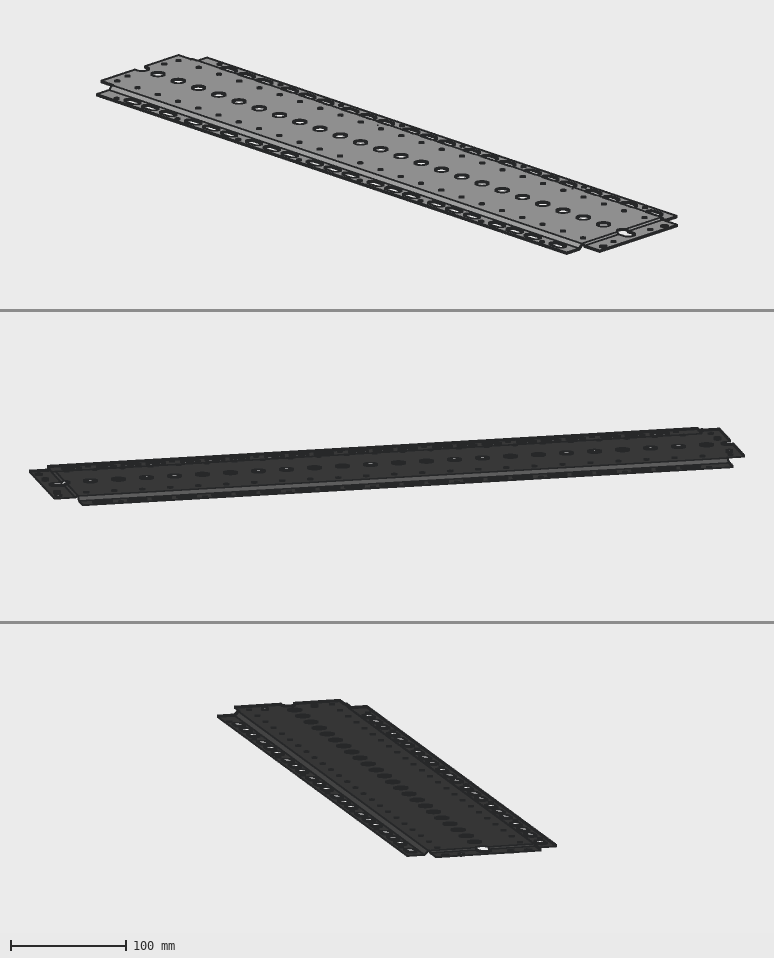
import math

import cadquery as cq

sheet = 1.5
total_height = 5.0
module_length = 600.0
plate_half_width = 47.5
overall_half_width = 67.5
end_margin = 15.5
total_length = module_length + end_margin

flange_start = 15.0
flange_end = 595.0
wall_top_y = 49.0
wall_drop = total_height - sheet
wall_slope_degrees = 45.0
wall_foot_y = wall_top_y + wall_drop / math.tan(math.radians(wall_slope_degrees))
bend_shift = sheet * math.tan(math.radians(wall_slope_degrees / 2))

tongue_drop = sheet
step_start = flange_end
step_length = 2.5
step_end = step_start + step_length
step_shift = sheet * math.tan(math.atan2(tongue_drop, step_length) / 2)

hole_pitch = 25.0
large_hole_diameter = 12.0
first_large_hole_x = 22.5
large_hole_count = 23
end_slot_length = 18.0

small_hole_diameter = 4.0
small_hole_y = 37.5
small_hole_start_x = 10.0
small_hole_count = 24
tongue_hole_diameter = 6.2

collar_outer_diameter = 5.4
collar_bore_diameter = 4.0
collar_drop = 1.5
collar_x = 7.5
collar_y = 22.5

flange_pitch = 75.0
flange_hole_start_x = 35.0
flange_hole_count = 8
flange_hole_diameter = 4.0
flange_hole_y = 63.0
slot_length = 17.0
slot_width = 9.0
slot_y = 59.0
slot_pitch = 22.0
first_slot_offset = flange_pitch / 2 - slot_pitch
slots_per_group = 3

plate_bottom = total_height - sheet
tongue_top = total_height - tongue_drop
tongue_bottom = tongue_top - sheet


def plate_and_tongue():
    """Flat plate with the stepped tongue, as one side profile swept across the width."""
    profile = [
        (0, total_height),
        (step_start, total_height),
        (step_end, tongue_top),
        (total_length, tongue_top),
        (total_length, tongue_bottom),
        (step_end - step_shift, tongue_bottom),
        (step_start - step_shift, plate_bottom),
        (0, plate_bottom),
    ]
    return (
        cq.Workplane("XZ")
        .polyline(profile)
        .close()
        .extrude(plate_half_width, both=True)
    )


def side_flange():
    """Lowered flange on the +Y side with the sloped wall that joins it to the plate."""
    profile = [
        (plate_half_width - sheet, total_height),
        (wall_top_y, total_height),
        (wall_foot_y, sheet),
        (overall_half_width, sheet),
        (overall_half_width, 0),
        (wall_foot_y - bend_shift, 0),
        (wall_top_y - bend_shift, plate_bottom),
        (plate_half_width - sheet, plate_bottom),
    ]
    return (
        cq.Workplane("YZ", origin=(flange_start, 0, 0))
        .polyline(profile)
        .close()
        .extrude(flange_end - flange_start)
    )


def through_holes(points, diameter):
    return cq.Workplane("XY").pushPoints(points).circle(diameter / 2).extrude(total_height)


def through_slots(points, length, width):
    return cq.Workplane("XY").pushPoints(points).slot2D(length, width).extrude(total_height)


def mirrored_pairs(x_positions, y):
    return [(x, side * y) for x in x_positions for side in (-1, 1)]


def collars(x, sheet_top):
    """Pair of tubular collars hanging below the sheet."""
    return (
        cq.Workplane("XY", origin=(0, 0, sheet_top))
        .pushPoints(mirrored_pairs([x], collar_y))
        .circle(collar_outer_diameter / 2)
        .extrude(-(sheet + collar_drop))
    )


flange = side_flange()
body = plate_and_tongue().union(flange).union(flange.mirror("XZ"))

tongue_collar_x = module_length + collar_x
body = body.union(collars(collar_x, total_height)).union(collars(tongue_collar_x, tongue_top))
body = body.cut(through_holes(mirrored_pairs([collar_x, tongue_collar_x], collar_y), collar_bore_diameter))

large_hole_points = [(first_large_hole_x + hole_pitch * i, 0) for i in range(large_hole_count)]
body = body.cut(through_holes(large_hole_points, large_hole_diameter))
body = body.cut(through_slots([(0, 0), (module_length, 0)], end_slot_length, large_hole_diameter))

small_hole_xs = [small_hole_start_x + hole_pitch * i for i in range(small_hole_count)]
tongue_hole_x = module_length + small_hole_start_x
body = body.cut(through_holes(mirrored_pairs(small_hole_xs, small_hole_y), small_hole_diameter))
body = body.cut(through_holes(mirrored_pairs([tongue_hole_x], small_hole_y), tongue_hole_diameter))

flange_hole_xs = [flange_hole_start_x + flange_pitch * i for i in range(flange_hole_count)]
first_slot_xs = [x + first_slot_offset for x in flange_hole_xs]
slot_xs = first_slot_xs[-1:]
for group_x in first_slot_xs[:-1]:
    slot_xs += [group_x + slot_pitch * i for i in range(slots_per_group)]
body = body.cut(through_holes(mirrored_pairs(flange_hole_xs, flange_hole_y), flange_hole_diameter))
body = body.cut(through_slots(mirrored_pairs(slot_xs, slot_y), slot_length, slot_width))

result = body